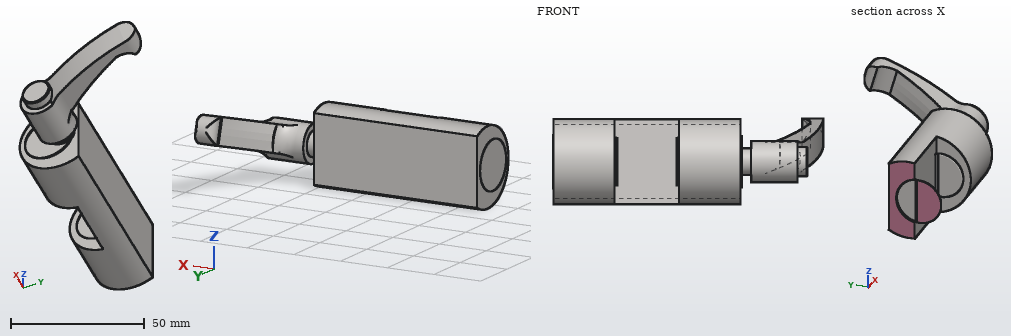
import cadquery as cq
import math

BODY_END = 70.1
BODY_DIAMETER = 32.0
BODY_RADIUS = BODY_DIAMETER / 2
BODY_DEPTH = 24.0
BACK_Y = BODY_DEPTH - BODY_RADIUS
SLOT_START = 23.0
SLOT_END = 47.1
WEB_THICKNESS = 10.4
SLOT_FLOOR_Y = BACK_Y - WEB_THICKNESS

INSERT_Y = -4.0
PAD_DIAMETER = 18.0
PAD_HEIGHT = 0.7
PAD_EDGE_ROUND = 0.5
PAD_CLEARANCE = 0.8
PAD_POCKET_DEPTH = 1.0
FREE_PLATE_DIAMETER = 20.0
FREE_PLATE_HEIGHT = 0.1
LEVER_PLATE_DIAMETER = 19.4
LEVER_PLATE_HEIGHT = 0.4

LEVER_Y = 1.3
NECK_DIAMETER = 10.1
HUB_START = 74.0
HUB_END = 91.4
HUB_DIAMETER = 15.6
HUB_RADIUS = HUB_DIAMETER / 2
BUTTON_END = 95.0
BUTTON_DIAMETER = 11.0
BUTTON_CHAMFER = 0.3

ARM_TILT = 16
ARM_WIDTH = 10.9
ARM_HALF_WIDTH = ARM_WIDTH / 2
TIP_CENTRE_Y = 38.9
TIP_END_Y = TIP_CENTRE_Y + ARM_HALF_WIDTH
ROOT_FILLET = 7.8

INNER_ROOT = (83.2, 8.6)
INNER_MIDDLE = (89.6, 18.7)
INNER_NECK = (96.2, 32.9)
HOOK_MIDDLE = (95.8, 36.3)
HOOK_END = (94.3, 38.9)
TIP_CORNER = (93.0, 39.8)
TIP_INNER_ROUND = 3.8
TIP_OUTER_ROUND = 1.2
OUTER_X = 101.0
OUTER_MIDDLE = (98.1, 20.5)
OUTER_ROOT = (HUB_END, 3.5)

RIDGE_RISE = 0.4
RIDGE_WIDTH = 2.6

FLARE_START = 77.8
FLARE_RADIUS = 8.0
FLARE_ANGLE = 60


def rod(start, end, diameter, y):
    """Cylinder along X between two stations, centred on the given Y."""
    return cq.Workplane("YZ", origin=(start, y, 0)).circle(diameter / 2).extrude(end - start)


def block(start, end, low_y, high_y):
    """Box between two X stations and two Y levels, as tall as the body."""
    size = (end - start, high_y - low_y, BODY_DIAMETER)
    return cq.Workplane("XY", origin=(start, low_y, 0)).box(*size, centered=(False, False, True))


def make_body():
    body = rod(FREE_PLATE_HEIGHT, BODY_END, BODY_DIAMETER, 0)
    body = body.cut(block(0, BODY_END, BACK_Y, BODY_RADIUS))
    return body.cut(block(SLOT_START, SLOT_END, -BODY_RADIUS, SLOT_FLOOR_Y))


def add_pads(body):
    """Raise a pad on each slot wall, cut flat just clear of a pocketed floor."""
    clearance = block(SLOT_START, SLOT_END, SLOT_FLOOR_Y - PAD_CLEARANCE, BODY_RADIUS)
    for wall, inward, face in ((SLOT_START, 1, ">X"), (SLOT_END, -1, "<X")):
        pocket = rod(wall, wall + inward * PAD_POCKET_DEPTH, PAD_DIAMETER, INSERT_Y)
        pad = rod(wall, wall + inward * PAD_HEIGHT, PAD_DIAMETER, INSERT_Y)
        pad = pad.faces(face).edges().fillet(PAD_EDGE_ROUND)
        body = body.cut(pocket).union(pad.cut(clearance))
    return body


def add_end_plates(body):
    free_plate = rod(0, FREE_PLATE_HEIGHT, FREE_PLATE_DIAMETER, INSERT_Y)
    lever_plate = rod(BODY_END, BODY_END + LEVER_PLATE_HEIGHT, LEVER_PLATE_DIAMETER, INSERT_Y)
    return body.union(free_plate).union(lever_plate)


def make_hub():
    neck = rod(BODY_END, HUB_START, NECK_DIAMETER, LEVER_Y)
    hub = rod(HUB_START, HUB_END, HUB_DIAMETER, LEVER_Y)
    button = rod(HUB_END, BUTTON_END, BUTTON_DIAMETER, LEVER_Y).faces(">X").chamfer(BUTTON_CHAMFER)
    return neck.union(hub).union(button)


def arm_outline():
    """Arm seen along the hub axis: hub circle, filleted sides and a half-round tip."""
    reach = HUB_RADIUS + ROOT_FILLET
    fillet_z = ARM_HALF_WIDTH + ROOT_FILLET
    fillet_y = math.sqrt(reach**2 - fillet_z**2)
    hub_y = fillet_y * HUB_RADIUS / reach
    hub_z = fillet_z * HUB_RADIUS / reach
    return (
        cq.Workplane("YZ")
        .moveTo(hub_y, -hub_z)
        .radiusArc((fillet_y, -ARM_HALF_WIDTH), ROOT_FILLET)
        .lineTo(TIP_CENTRE_Y, -ARM_HALF_WIDTH)
        .threePointArc((TIP_END_Y, 0), (TIP_CENTRE_Y, ARM_HALF_WIDTH))
        .lineTo(fillet_y, ARM_HALF_WIDTH)
        .radiusArc((hub_y, hub_z), ROOT_FILLET)
        .threePointArc((-HUB_RADIUS, 0), (hub_y, -hub_z))
        .close()
        .extrude(OUTER_X)
    )


def arm_profile():
    """Arm seen from the side: a crescent that ends in a hooked, rounded tip."""
    tip_x = TIP_CORNER[0]
    return (
        cq.Workplane("XY")
        .moveTo(INNER_ROOT[0], 0)
        .lineTo(*INNER_ROOT)
        .threePointArc(INNER_MIDDLE, INNER_NECK)
        .threePointArc(HOOK_MIDDLE, HOOK_END)
        .lineTo(*TIP_CORNER)
        .lineTo(tip_x, TIP_END_Y - TIP_INNER_ROUND)
        .radiusArc((tip_x + TIP_INNER_ROUND, TIP_END_Y), TIP_INNER_ROUND)
        .lineTo(OUTER_X - TIP_OUTER_ROUND, TIP_END_Y)
        .radiusArc((OUTER_X, TIP_END_Y - TIP_OUTER_ROUND), TIP_OUTER_ROUND)
        .lineTo(OUTER_X, TIP_CENTRE_Y)
        .threePointArc(OUTER_MIDDLE, OUTER_ROOT)
        .lineTo(HUB_END, 0)
        .close()
        .extrude(HUB_RADIUS, both=True)
    )


def ridge_section(z, rise):
    """Wire along the inner face of the arm, lifted off it by the given rise."""
    root_x, root_y = INNER_ROOT
    middle_x, middle_y = INNER_MIDDLE
    return (
        cq.Workplane("XY", origin=(0, 0, z))
        .moveTo(root_x - rise, root_y)
        .threePointArc((middle_x - rise, middle_y), INNER_NECK)
        .lineTo(HUB_END, root_y)
        .close()
        .val()
    )


def arm_ridge():
    half = RIDGE_WIDTH / 2
    stations = ((-ARM_HALF_WIDTH, 0), (-half, RIDGE_RISE), (half, RIDGE_RISE), (ARM_HALF_WIDTH, 0))
    sections = [ridge_section(z, rise) for z, rise in stations]
    return cq.Workplane(cq.Solid.makeLoft(sections, True))


def arm_flare():
    def on_arc(degrees):
        angle = math.radians(degrees)
        rise = FLARE_RADIUS * (1 - math.cos(angle))
        return (FLARE_START + FLARE_RADIUS * math.sin(angle), HUB_RADIUS + rise)

    flare_end = on_arc(FLARE_ANGLE)
    return (
        cq.Workplane("XY")
        .moveTo(FLARE_START, 0)
        .lineTo(FLARE_START, HUB_RADIUS)
        .threePointArc(on_arc(FLARE_ANGLE / 2), flare_end)
        .lineTo(HUB_END, flare_end[1])
        .lineTo(HUB_END, 0)
        .close()
        .revolve(360, (0, 0, 0), (1, 0, 0))
    )


def make_arm():
    arm = arm_profile().union(arm_ridge()).union(arm_flare()).intersect(arm_outline())
    return arm.rotate((0, 0, 0), (1, 0, 0), ARM_TILT).translate((0, LEVER_Y, 0))


body = add_end_plates(add_pads(make_body()))
result = body.union(make_hub()).union(make_arm())